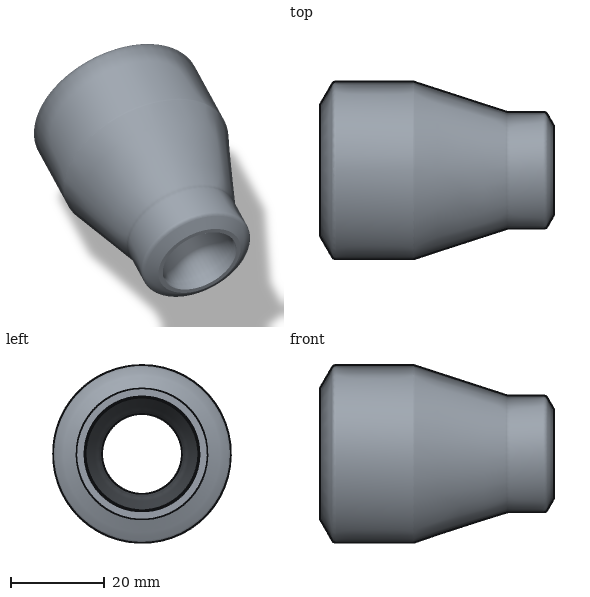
import cadquery as cq
import math

total_length = 50.0
large_length = 20.0
taper_length = 20.0
taper_end = large_length + taper_length
large_bore_depth = 12.0
bore_taper_end = large_bore_depth + taper_length

large_radius = 38.0 / 2
small_radius = 25.0 / 2
large_bore_radius = 24.0 / 2
small_bore_radius = 17.0 / 2

large_land_radius = 28.0 / 2
small_land_radius = 19.0 / 2
bevel_angle = math.radians(30)
large_bevel_length = (large_radius - large_land_radius) * math.tan(bevel_angle)
small_bevel_length = (small_radius - small_land_radius) * math.tan(bevel_angle)

outer_blend_radius = 1.0
neck_blend_radius = 0.5
mouth_break = 0.3

pick_margin = 0.1


def revolve_about_x(points):
    """Revolve a closed profile of (x, radius) points about the X axis."""
    return cq.Workplane("XZ").polyline(points).close().revolve(360, (0, 0, 0), (1, 0, 0))


def round_circle(body, corner, blend_radius):
    """Round the circular edge that a profile corner sweeps out."""
    x, radius = corner
    low_corner = (x - pick_margin, -radius, -radius)
    high_corner = (x + pick_margin, radius, radius)
    circle = body.edges(cq.selectors.BoxSelector(low_corner, high_corner))
    return circle.fillet(blend_radius)


def make_outer_body():
    """Two bevelled cylinders joined by a cone, with rounded transitions."""
    large_bevel_corner = (large_bevel_length, large_radius)
    shoulder_corner = (large_length, large_radius)
    neck_corner = (taper_end, small_radius)
    small_bevel_corner = (total_length - small_bevel_length, small_radius)
    body = revolve_about_x([
        (0, 0),
        (0, large_land_radius),
        large_bevel_corner,
        shoulder_corner,
        neck_corner,
        small_bevel_corner,
        (total_length, small_land_radius),
        (total_length, 0),
    ])
    for corner in (large_bevel_corner, shoulder_corner, small_bevel_corner):
        body = round_circle(body, corner, outer_blend_radius)
    return round_circle(body, neck_corner, neck_blend_radius)


def make_bore():
    """Stepped bore with a conical middle and a broken edge at the large mouth."""
    return revolve_about_x([
        (0, 0),
        (0, large_bore_radius + mouth_break),
        (mouth_break, large_bore_radius),
        (large_bore_depth, large_bore_radius),
        (bore_taper_end, small_bore_radius),
        (total_length, small_bore_radius),
        (total_length, 0),
    ])


result = make_outer_body().cut(make_bore())